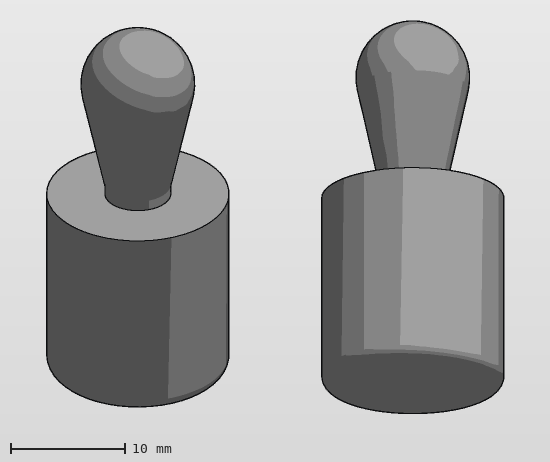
import cadquery as cq
import math

body_diameter = 16.0
body_height = 17.5
bottom_fillet = 1.0
neck_diameter = 5.8
neck_height = 0.9
ball_diameter = 10.0
overall_height = 33.7

body_radius = body_diameter / 2
neck_radius = neck_diameter / 2
ball_radius = ball_diameter / 2
ball_center_z = overall_height - ball_radius
neck_top_z = body_height + neck_height


def ball_point(angle):
    """Point (radius, z) on the ball profile at an angle above its equator."""
    return (
        ball_radius * math.cos(angle),
        ball_center_z + ball_radius * math.sin(angle),
    )


def taper_tangent_angle():
    """Angle on the ball where a line from the neck's top edge touches it tangentially."""
    drop = ball_center_z - neck_top_z
    distance = math.hypot(neck_radius, drop)
    neck_edge_angle = math.atan2(-drop, neck_radius)
    return neck_edge_angle + math.acos(ball_radius / distance)


def make_body():
    """Cylindrical base with a rounded bottom edge."""
    body = cq.Workplane("XY").circle(body_radius).extrude(body_height)
    return body.faces("<Z").edges().fillet(bottom_fillet)


def make_pin():
    """Short neck, tapered shank and ball end, revolved about Z."""
    tangent_angle = taper_tangent_angle()
    arc_middle_angle = (tangent_angle + math.pi / 2) / 2
    profile = (
        cq.Workplane("XZ")
        .moveTo(0, body_height)
        .lineTo(neck_radius, body_height)
        .lineTo(neck_radius, neck_top_z)
        .lineTo(*ball_point(tangent_angle))
        .threePointArc(ball_point(arc_middle_angle), (0, overall_height))
        .close()
    )
    return profile.revolve(360, (0, 0, 0), (0, 1, 0))


result = make_body().union(make_pin())